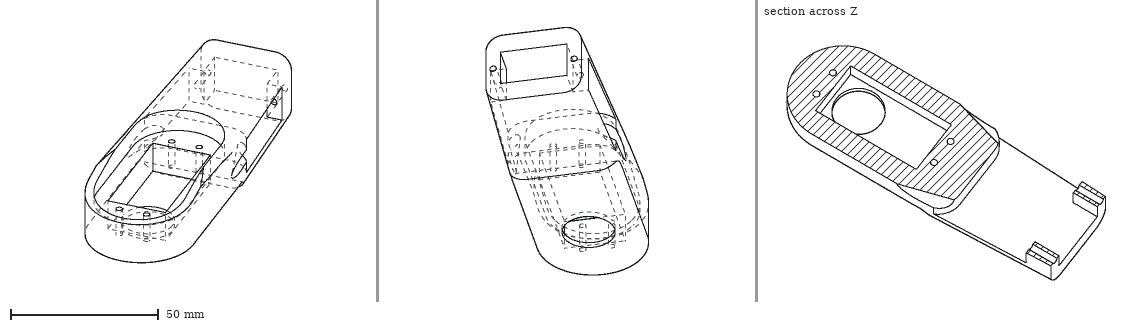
import cadquery as cq
import math

NOSE_RADIUS = 19.0
TAIL_Y = 96.0
TAIL_HALF_WIDTH = 16.5
TAPER_START_Y = 41.0
TOP_Z = 21.0
BOTTOM_Z = -6.0
EDGE_RADIUS = 6.0
TAPER_SLOPE = (NOSE_RADIUS - TAIL_HALF_WIDTH) / (TAIL_Y - TAPER_START_Y)

NOSE_TOP_Z = 15.0
NOSE_BOTTOM_Z = 0.0
SLOPE_TOP_Y = 23.5
SLOPE_BOTTOM_Y = -20.0
STEP_RADIUS = 6.0
STEP_START_Y = 43.0

SERVO_Y = 16.5
RECESS_RADIUS = 16.0
RECESS_LENGTH = 65.0
RECESS_FLOOR_Z = 13.0
POCKET_WIDTH = 21.0
POCKET_LENGTH = 41.0
POCKET_FLOOR_Z = 2.0
SHAFT_HOLE_DIAMETER = 18.0
SHAFT_HOLE_Y = 6.3
SCREW_DIAMETER = 2.2
SCREW_DEPTH = 10.0
SCREW_SPACING_X = 10.0
SCREW_SPACING_Y = 48.0

WINDOW_FRONT_Y = 54.8
WINDOW_BACK_Y = 86.1
WINDOW_BOTTOM_Z = 1.0
WINDOW_TOP_Z = 14.0
WINDOW_MID_Z = (WINDOW_BOTTOM_Z + WINDOW_TOP_Z) / 2
CORNER_RADIUS = 8.9
CORNER_CENTRE_X = 10.5

SOCKET_WIDTH = 23.0
TAIL_SCREW_SPACING = 28.0

GROOVE_DIAMETER = 5.2
GROOVE_EXIT_Y = 44.3
GROOVE_ANGLE = 16.0

CLEARANCE = 5.0


def tapered_bar():
    """Bar whose flat sides spread from tail to nose tip, with its long edges rounded."""
    tip_half_width = TAIL_HALF_WIDTH + TAPER_SLOPE * (TAIL_Y + NOSE_RADIUS)
    return (
        cq.Workplane("XY", origin=(0, 0, BOTTOM_Z))
        .moveTo(-TAIL_HALF_WIDTH, TAIL_Y)
        .lineTo(-tip_half_width, -NOSE_RADIUS)
        .lineTo(tip_half_width, -NOSE_RADIUS)
        .lineTo(TAIL_HALF_WIDTH, TAIL_Y)
        .close()
        .extrude(TOP_Z - BOTTOM_Z)
        .faces("<Z or >Z")
        .edges("not |X")
        .fillet(EDGE_RADIUS)
    )


def plan_outline():
    """Straight-sided prism with a semicircular nose that trims the bar."""
    return (
        cq.Workplane("XY", origin=(0, 0, BOTTOM_Z))
        .moveTo(-NOSE_RADIUS, TAIL_Y)
        .lineTo(-NOSE_RADIUS, 0)
        .threePointArc((0, -NOSE_RADIUS), (NOSE_RADIUS, 0))
        .lineTo(NOSE_RADIUS, TAIL_Y)
        .close()
        .extrude(TOP_Z - BOTTOM_Z)
    )


def side_profile():
    """YZ workplane lying outside the arm's -X side."""
    return cq.Workplane("YZ", origin=(-NOSE_RADIUS - CLEARANCE, 0, 0))


def extrude_across(profile):
    """Close a side profile and extrude it past the arm's full width."""
    return profile.close().extrude(2 * (NOSE_RADIUS + CLEARANCE))


def nose_slope():
    """Material above the S-curve, which is level at both of its ends."""
    middle = ((SLOPE_TOP_Y + SLOPE_BOTTOM_Y) / 2, (TOP_Z + NOSE_TOP_Z) / 2)
    bottom = (SLOPE_BOTTOM_Y, NOSE_TOP_Z)
    level = (-1, 0)
    return extrude_across(
        side_profile()
        .moveTo(SLOPE_TOP_Y, TOP_Z)
        .spline([middle, bottom], tangents=[level, level], includeCurrent=True)
        .lineTo(SLOPE_BOTTOM_Y, TOP_Z + CLEARANCE)
        .lineTo(SLOPE_TOP_Y, TOP_Z + CLEARANCE)
    )


def underside_step():
    """Material under the nose, ending in a concave quarter round."""
    diagonal = STEP_RADIUS * math.sqrt(0.5)
    front_y = -NOSE_RADIUS - CLEARANCE
    return extrude_across(
        side_profile()
        .moveTo(front_y, NOSE_BOTTOM_Z)
        .lineTo(STEP_START_Y, NOSE_BOTTOM_Z)
        .threePointArc(
            (STEP_START_Y + diagonal, NOSE_BOTTOM_Z - STEP_RADIUS + diagonal),
            (STEP_START_Y + STEP_RADIUS, NOSE_BOTTOM_Z - STEP_RADIUS),
        )
        .lineTo(STEP_START_Y + STEP_RADIUS, BOTTOM_Z - CLEARANCE)
        .lineTo(front_y, BOTTOM_Z - CLEARANCE)
    )


def servo_seat():
    """Recess, pocket, shaft hole and four blind screw holes."""
    recess = (
        cq.Workplane("XY", origin=(0, SERVO_Y, RECESS_FLOOR_Z))
        .slot2D(RECESS_LENGTH, 2 * RECESS_RADIUS, 90)
        .extrude(TOP_Z - RECESS_FLOOR_Z + CLEARANCE)
    )
    pocket = (
        cq.Workplane("XY", origin=(0, SERVO_Y, POCKET_FLOOR_Z))
        .rect(POCKET_WIDTH, POCKET_LENGTH)
        .extrude(RECESS_FLOOR_Z - POCKET_FLOOR_Z)
    )
    shaft_hole = (
        cq.Workplane("XY", origin=(0, SHAFT_HOLE_Y, BOTTOM_Z))
        .circle(SHAFT_HOLE_DIAMETER / 2)
        .extrude(POCKET_FLOOR_Z - BOTTOM_Z)
    )
    screws = (
        cq.Workplane("XY", origin=(0, SERVO_Y, RECESS_FLOOR_Z))
        .rect(SCREW_SPACING_X, SCREW_SPACING_Y, forConstruction=True)
        .vertices()
        .circle(SCREW_DIAMETER / 2)
        .extrude(-SCREW_DEPTH)
    )
    return recess.union(pocket).union(shaft_hole).union(screws)


def window():
    """Opening across the tail whose front wall rounds off towards both sides."""
    reach = NOSE_RADIUS + CLEARANCE
    centre_y = WINDOW_FRONT_Y - CORNER_RADIUS
    diagonal = CORNER_RADIUS * math.sqrt(0.5)
    corner_x = CORNER_CENTRE_X + CORNER_RADIUS
    return (
        cq.Workplane("XY", origin=(0, 0, WINDOW_BOTTOM_Z))
        .moveTo(-reach, WINDOW_BACK_Y)
        .lineTo(-reach, centre_y)
        .lineTo(-corner_x, centre_y)
        .threePointArc(
            (-CORNER_CENTRE_X - diagonal, centre_y + diagonal),
            (-CORNER_CENTRE_X, WINDOW_FRONT_Y),
        )
        .lineTo(CORNER_CENTRE_X, WINDOW_FRONT_Y)
        .threePointArc(
            (CORNER_CENTRE_X + diagonal, centre_y + diagonal),
            (corner_x, centre_y),
        )
        .lineTo(reach, centre_y)
        .lineTo(reach, WINDOW_BACK_Y)
        .close()
        .extrude(WINDOW_TOP_Z - WINDOW_BOTTOM_Z)
    )


def tail_socket():
    """Rectangular opening through the end wall, level with the window."""
    return (
        cq.Workplane("XZ", origin=(0, TAIL_Y, WINDOW_MID_Z))
        .rect(SOCKET_WIDTH, WINDOW_TOP_Z - WINDOW_BOTTOM_Z)
        .extrude(TAIL_Y - WINDOW_BACK_Y)
    )


def tail_screw_hole(side):
    """Hole through the tail end wall; side is -1 or +1."""
    return cq.Workplane(
        cq.Solid.makeCylinder(
            SCREW_DIAMETER / 2,
            TAIL_Y - WINDOW_BACK_Y,
            cq.Vector(side * TAIL_SCREW_SPACING / 2, WINDOW_BACK_Y, WINDOW_MID_Z),
            cq.Vector(0, 1, 0),
        )
    )


def cable_groove(side):
    """Slanted round groove from the window out through one side face."""
    angle = math.radians(GROOVE_ANGLE)
    start_y = WINDOW_FRONT_Y + CLEARANCE
    start_x = NOSE_RADIUS - (start_y - GROOVE_EXIT_Y) * math.tan(angle)
    length = 2 * (start_y - TAPER_START_Y)
    return cq.Workplane(
        cq.Solid.makeCylinder(
            GROOVE_DIAMETER / 2,
            length,
            cq.Vector(side * start_x, start_y, WINDOW_MID_Z),
            cq.Vector(side * math.sin(angle), -math.cos(angle), 0),
        )
    )


arm = tapered_bar().intersect(plan_outline())
arm = arm.cut(nose_slope()).cut(underside_step())
arm = arm.cut(servo_seat()).cut(window()).cut(tail_socket())
for side in (-1, 1):
    arm = arm.cut(tail_screw_hole(side)).cut(cable_groove(side))

result = arm